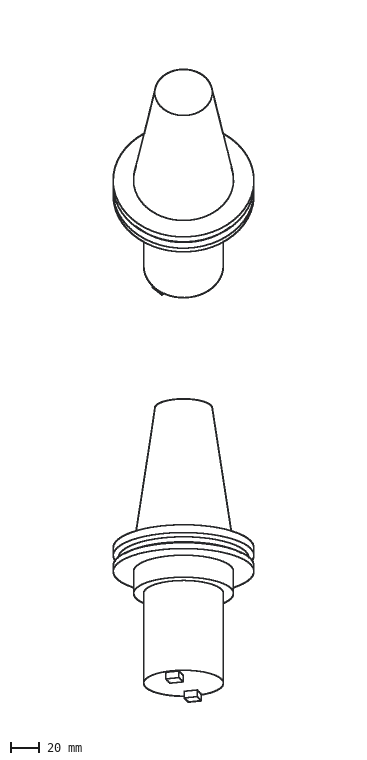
import cadquery as cq

gauge_diameter = 69.85
taper_length = 101.6
taper_ratio = 7 / 24
small_end_diameter = gauge_diameter - taper_length * taper_ratio

flange_diameter = 98.43
flange_top = 1.5
flange_bottom = 19.05
groove_floor_diameter = 91.3
groove_mid_depth = 11.0
groove_floor_width = 3.7
groove_flank_height = 1.9

collar_diameter = gauge_diameter
collar_bottom = 35.3
nose_diameter = 55.8
nose_bottom = 101.6

key_size = 9.6
key_height = 4.9
key_offset = 21.3


def make_body():
    """Revolve the half profile of the shank, flange, collar and nose about Z."""
    small_radius = small_end_diameter / 2
    gauge_radius = gauge_diameter / 2
    flange_radius = flange_diameter / 2
    floor_radius = groove_floor_diameter / 2
    collar_radius = collar_diameter / 2
    nose_radius = nose_diameter / 2
    floor_top = groove_mid_depth - groove_floor_width / 2
    floor_bottom = groove_mid_depth + groove_floor_width / 2
    profile = [
        (0, taper_length),
        (small_radius, taper_length),
        (gauge_radius, 0),
        (gauge_radius, -flange_top),
        (flange_radius, -flange_top),
        (flange_radius, -(floor_top - groove_flank_height)),
        (floor_radius, -floor_top),
        (floor_radius, -floor_bottom),
        (flange_radius, -(floor_bottom + groove_flank_height)),
        (flange_radius, -flange_bottom),
        (collar_radius, -flange_bottom),
        (collar_radius, -collar_bottom),
        (nose_radius, -collar_bottom),
        (nose_radius, -nose_bottom),
        (0, -nose_bottom),
    ]
    return cq.Workplane("XZ").polyline(profile).close().revolve(360, (0, 0), (0, 1))


def make_keys():
    """Square blocks standing out below the nose face."""
    return (
        cq.Workplane("XY", origin=(0, 0, -nose_bottom))
        .pushPoints([(0, side * key_offset) for side in (-1, 1)])
        .rect(key_size, key_size)
        .extrude(-key_height)
    )


result = make_body().union(make_keys())